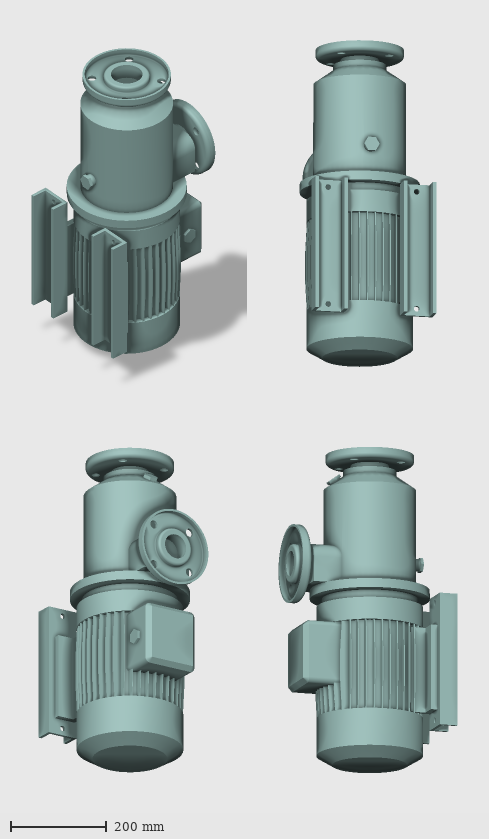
import cadquery as cq
import math


total_height = 659.0
fan_cowl_bevel_top = 20.0
fin_bottom = 99.0
fin_top = 288.5
motor_top = 335.5
joint_height = 353.0
mounting_flange_top = 372.5
barrel_top = 584.5
cone_top = 614.0
cap_top = 626.0

motor_radius = 111.5
spigot_radius = 100.0
fan_cowl_end_radius = 78.5
fin_core_radius = 100.0
fin_thickness = 2.0
fin_pitch_radius = 108.0
fin_pitch_angle = 9.0
fins_per_side = 10
fin_tip_radius = 110.0
fin_bulge = 4.0

box_half_width = 60.5
box_back = 163.0
box_height = 133.0
box_edge_radius = 10.5
box_chamfer = 10.0
box_front = 66.0
gland_y = 118.0

channel_inner_x = 60.0
channel_width = 69.0
channel_depth = 39.0
channel_thickness = 7.0
channel_bottom = 68.5
channel_top = 349.0
channel_hole_diameter = 12.0
channel_hole_inset = 15.0
foot_bottom = 103.0
foot_top = 283.5
foot_inner_x = 64.5
foot_rib_outer_x = 78.0
foot_rib_height = 47.0
foot_pad_outer_x = 114.5
foot_pad_height = 14.5

mounting_flange_radius = 125.0
barrel_radius = 97.0
cap_radius = 55.5
outlet_half_width = 55.5
outlet_height = 84.5
outlet_corner_radius = 29.5
outlet_end = 141.0
outlet_axis_height = 418.5
outlet_face = 173.0

flange_thickness = 20.5
flange_edge_radius = 8.0
dish_depth = 14.0
rim_width = 4.5
dish_fillet = 2.5
hub_edge_radius = 5.0
neck_taper_rise = 2.5
bolt_count = 4
bolt_hole_diameter = 18.0

plug_across_corners = 33.0
plug_head_thickness = 6.5
plug_shank_radius = 13.0
plug_shank_length = 20.0
drain_height = 433.5
drain_head_front = 114.0
vent_gap = 1.0


def block(x_range, y_range, z_range):
    corner = (x_range[0], y_range[0], z_range[0])
    size = (x_range[1] - x_range[0], y_range[1] - y_range[0], z_range[1] - z_range[0])
    return cq.Workplane("XY").box(*size, centered=False).translate(corner)


def both_sides(shape):
    return shape.union(shape.mirror("YZ"))


def hex_plug(seat, outward, corner_direction):
    """Hexagon head resting on `seat`, with a shank going back into the part."""
    plane = cq.Plane(origin=seat, xDir=corner_direction, normal=outward)
    head = cq.Workplane(plane).polygon(6, plug_across_corners).extrude(plug_head_thickness)
    shank = cq.Workplane(plane).circle(plug_shank_radius).extrude(-plug_shank_length)
    return head.union(shank)



def motor_shell():
    outline = [
        (0, 0),
        (fan_cowl_end_radius, 0),
        (motor_radius, fan_cowl_bevel_top),
        (motor_radius, fin_bottom),
        (fin_core_radius, fin_bottom),
        (fin_core_radius, fin_top),
        (motor_radius, fin_top),
        (motor_radius, motor_top),
        (spigot_radius, motor_top),
        (spigot_radius, joint_height),
        (0, joint_height),
    ]
    return cq.Workplane("XZ").polyline(outline).close().revolve(360, (0, 0), (0, 1))


def fin_pair(offset):
    """Fin plate parallel to X at Y = offset, with bulging tips at both ends."""
    reach = math.sqrt(fin_tip_radius ** 2 - offset ** 2)
    middle = (fin_bottom + fin_top) / 2
    return (
        cq.Workplane("XZ", origin=(0, offset, 0))
        .moveTo(-reach, fin_bottom)
        .lineTo(reach, fin_bottom)
        .threePointArc((reach + fin_bulge, middle), (reach, fin_top))
        .lineTo(-reach, fin_top)
        .threePointArc((-reach - fin_bulge, middle), (-reach, fin_bottom))
        .close()
        .extrude(fin_thickness / 2, both=True)
    )


def add_fins(body):
    for index in range(fins_per_side):
        angle = (index - (fins_per_side - 1) / 2) * fin_pitch_angle
        fin = fin_pair(fin_pitch_radius * math.sin(math.radians(angle)))
        body = body.union(fin)
        body = body.union(fin.rotate((0, 0, 0), (0, 0, 1), 90))
    return body


def terminal_box():
    bottom = fin_top - box_height
    box = block((-box_half_width, box_half_width), (box_front, box_back), (bottom, fin_top))
    box = box.edges("|Y").fillet(box_edge_radius)
    box = box.faces(">Y").chamfer(box_chamfer)
    gland_seat = (box_half_width, gland_y, (bottom + fin_top) / 2)
    return box.union(hex_plug(gland_seat, (1, 0, 0), (0, 0, 1)))


def foot():
    height = (foot_bottom, foot_top)
    rib = block(
        (foot_inner_x, foot_rib_outer_x), (-motor_radius, -motor_radius + foot_rib_height), height
    )
    pad = block(
        (foot_inner_x, foot_pad_outer_x), (-motor_radius, -motor_radius + foot_pad_height), height
    )
    return rib.union(pad)


def channel():
    outer_x = channel_inner_x + channel_width
    base = -motor_radius - channel_depth
    height = (channel_bottom, channel_top)
    outside = block((channel_inner_x, outer_x), (base, -motor_radius), height)
    inside = block(
        (channel_inner_x + channel_thickness, outer_x - channel_thickness),
        (base, -motor_radius - channel_thickness),
        height,
    )
    center_x = channel_inner_x + channel_width / 2
    holes = (
        cq.Workplane("XZ", origin=(0, -motor_radius, 0))
        .pushPoints([
            (center_x, channel_bottom + channel_hole_inset),
            (center_x, channel_top - channel_hole_inset),
        ])
        .circle(channel_hole_diameter / 2)
        .extrude(channel_thickness)
    )
    return outside.cut(inside).cut(holes)


def make_motor():
    body = add_fins(motor_shell())
    body = body.union(terminal_box())
    return body.union(both_sides(foot().union(channel())))



def pipe_flange(
    rim_radius, hub_radius, hub_rise, bore_radius, neck_radius, neck_taper, bolt_circle, length
):
    """Dished flange facing +Z with its rim face at Z = 0 and its neck ending at Z = -length."""
    dish_radius = rim_radius - rim_width
    neck_start = neck_radius - neck_taper_rise
    flange = (
        cq.Workplane("XZ")
        .moveTo(bore_radius, -length)
        .lineTo(bore_radius, hub_rise)
        .lineTo(hub_radius - hub_edge_radius, hub_rise)
        .radiusArc((hub_radius, hub_rise - hub_edge_radius), hub_edge_radius)
        .lineTo(hub_radius, -dish_depth + dish_fillet)
        .radiusArc((hub_radius + dish_fillet, -dish_depth), -dish_fillet)
        .lineTo(dish_radius - dish_fillet, -dish_depth)
        .radiusArc((dish_radius, -dish_depth + dish_fillet), -dish_fillet)
        .lineTo(dish_radius, 0)
        .lineTo(rim_radius, 0)
        .lineTo(rim_radius, -flange_thickness + flange_edge_radius)
        .radiusArc((rim_radius - flange_edge_radius, -flange_thickness), flange_edge_radius)
        .lineTo(neck_start, -flange_thickness)
        .lineTo(neck_radius, -flange_thickness - neck_taper)
        .lineTo(neck_radius, -length)
        .close()
        .revolve(360, (0, 0), (0, 1))
    )
    bolt_holes = (
        cq.Workplane("XY")
        .polarArray(bolt_circle / 2, 180 / bolt_count, 360, bolt_count)
        .circle(bolt_hole_diameter / 2)
        .extrude(-flange_thickness)
    )
    return flange.cut(bolt_holes)


def inlet_flange():
    flange = pipe_flange(
        rim_radius=92.0, hub_radius=48.0, hub_rise=0, bore_radius=33.0, neck_radius=42.0,
        neck_taper=6.5, bolt_circle=145.0, length=total_height - cap_top,
    )
    return flange.translate((0, 0, total_height))


def outlet_flange():
    flange = pipe_flange(
        rim_radius=82.5, hub_radius=41.0, hub_rise=1.0, bore_radius=26.5, neck_radius=35.5,
        neck_taper=2.5, bolt_circle=125.0, length=outlet_face - outlet_end,
    )
    flange = flange.rotate((0, 0, 0), (1, 0, 0), -90)
    return flange.translate((0, outlet_face, outlet_axis_height))


def pump_shell():
    outline = [
        (0, joint_height),
        (mounting_flange_radius, joint_height),
        (mounting_flange_radius, mounting_flange_top),
        (barrel_radius, mounting_flange_top),
        (barrel_radius, barrel_top),
        (cap_radius, cone_top),
        (cap_radius, cap_top),
        (0, cap_top),
    ]
    return cq.Workplane("XZ").polyline(outline).close().revolve(360, (0, 0), (0, 1))


def outlet_block():
    top = mounting_flange_top + outlet_height
    branch = block(
        (-outlet_half_width, outlet_half_width), (0, outlet_end), (mounting_flange_top, top)
    )
    return branch.edges("|Y and >Z").fillet(outlet_corner_radius)


def drain_plug():
    seat = (0, -drain_head_front + plug_head_thickness, drain_height)
    return hex_plug(seat, (0, -1, 0), (1, 0, 0))


def vent_plug():
    """Plug at the middle of the cone's +Y side, square to its slope."""
    run = barrel_radius - cap_radius
    rise = cone_top - barrel_top
    slope = math.hypot(run, rise)
    normal_y = rise / slope
    normal_z = run / slope
    seat = (
        0,
        (barrel_radius + cap_radius) / 2 + vent_gap * normal_y,
        (barrel_top + cone_top) / 2 + vent_gap * normal_z,
    )
    return hex_plug(seat, (0, normal_y, normal_z), (1, 0, 0))


def make_pump():
    body = pump_shell()
    for feature in (outlet_block(), inlet_flange(), outlet_flange(), drain_plug(), vent_plug()):
        body = body.union(feature)
    return body


motor = make_motor()
pump = make_pump()
result = cq.Compound.makeCompound([*motor.solids().vals(), *pump.solids().vals()])